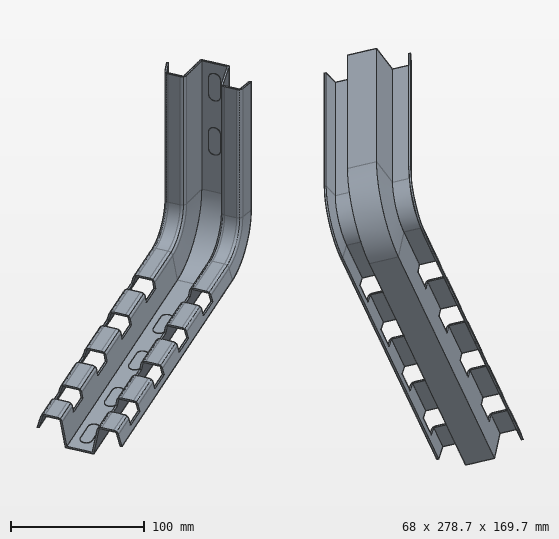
import cadquery as cq
import math

arm_length = 278.7
arm_height = 169.7
half_width = 34.0
sheet = 1.5

section_depth = 26.2
base_half_width = 11.5
lip_end_depth = 12.8
web_angle = math.radians(10)
lip_angle = math.radians(15)
shoulder_radius = 4.0

bend_radius = 51.5

pitch = 50.0
slot_length = 25.0
slot_width = 9.5
slot_recess = 0.3
slot_end_distance = 21.7
long_arm_slots = 4
short_arm_slots = 2
notch_length = 19.0
notch_depth = 8.5
notch_end_distance = 31.0
notch_count = 4

match_tolerance = 0.03


def web_x(depth):
    """Half width of the web's face outside the channel at a given depth."""
    return base_half_width + depth * math.tan(web_angle)


def lip_x(depth):
    """Half width of the lip's outer face at a given depth."""
    return half_width - (depth - lip_end_depth) * math.tan(lip_angle)


def hat_section():
    """Closed wire of the hat section in the XZ plane at Y = 0."""
    web_run = sheet / math.cos(web_angle)
    lip_run = sheet / math.cos(lip_angle)
    crest_underside = section_depth - sheet
    shoulders = [
        (lip_x(section_depth), section_depth),
        (web_x(section_depth) - web_run, section_depth),
    ]
    half = [
        (base_half_width, 0),
        (web_x(crest_underside), crest_underside),
        (lip_x(crest_underside) - lip_run, crest_underside),
        (lip_x(lip_end_depth) - lip_run, lip_end_depth),
        (half_width, lip_end_depth),
        *shoulders,
        (web_x(sheet) - web_run, sheet),
    ]
    mirrored = [(-x, z) for x, z in reversed(half)]
    wire = cq.Wire.makePolygon([cq.Vector(x, 0, z) for x, z in half + mirrored], close=True)
    rounded = [v for v in wire.Vertices() if v.Z > section_depth - match_tolerance]
    return wire.fillet2D(shoulder_radius, rounded)


def bent_channel():
    """Hat section carried along the long arm, round the bend and up the short arm."""
    path = (
        cq.Workplane("YZ")
        .lineTo(arm_length - bend_radius, 0)
        .radiusArc((arm_length, bend_radius), -bend_radius)
        .lineTo(arm_length, arm_height)
    )
    return cq.Workplane("XY").add(hat_section()).toPending().sweep(path)


def slot_cutter(plane, centres):
    """Shallow slots along an arm, extruded from the given plane."""
    return plane.pushPoints(centres).slot2D(slot_length, slot_width, 90).extrude(slot_recess)


def long_arm_slots_cutter():
    """Slots sunk into the upper face of the long arm's base."""
    plane = cq.Workplane("XY", origin=(0, 0, sheet - slot_recess))
    centres = [(0, slot_end_distance + i * pitch) for i in range(long_arm_slots)]
    return slot_cutter(plane, centres)


def short_arm_slots_cutter():
    """Slots sunk into the front face of the short arm's base."""
    plane = cq.Workplane("XZ", origin=(0, arm_length - sheet + slot_recess, 0))
    centres = [(0, arm_height - slot_end_distance - i * pitch) for i in range(short_arm_slots)]
    return slot_cutter(plane, centres)


def notch_cutter():
    """Boxes across the full width that open the crests of the long arm."""
    centres = [(0, notch_end_distance + i * pitch) for i in range(notch_count)]
    return (
        cq.Workplane("XY", origin=(0, 0, section_depth - notch_depth))
        .pushPoints(centres)
        .rect(2 * half_width, notch_length)
        .extrude(notch_depth)
    )


result = (
    bent_channel()
    .cut(long_arm_slots_cutter())
    .cut(short_arm_slots_cutter())
    .cut(notch_cutter())
)